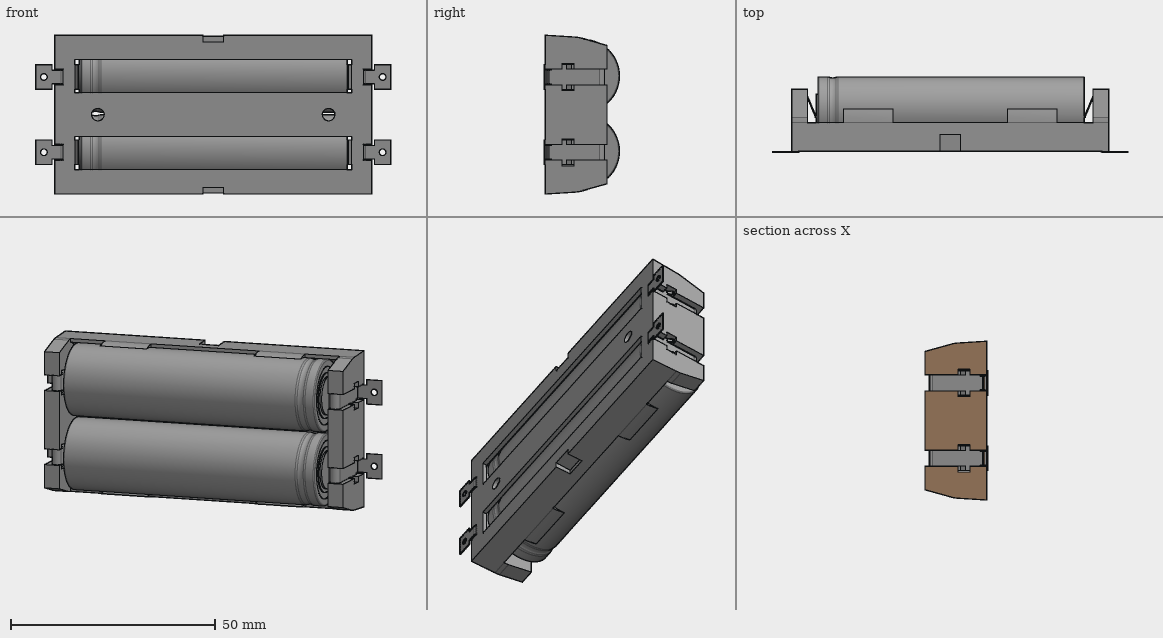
import cadquery as cq
import math


housing_half_length = 38.9
housing_half_width = 19.5
housing_height = 15.2
end_wall = 3.9
bay_half_length = housing_half_length - end_wall
rim_height = 7.05
rim_half_width = 19.05
bend_height = 8.35
bend_half_width = 18.9
top_half_width = 17.0

bay_spacing = 18.45
bay_centres = (bay_spacing / 2, -bay_spacing / 2)
battery_radius = 9.0
battery_shift = 0.3
bay_radius = battery_radius + battery_shift
axis_height = 9.3

clip_height = 10.4
floor_thickness = 1.05

clip_inner_x = 14.0
clip_outer_x = 26.1

window_half_length = 33.9
window_inner_z = 5.4
window_outer_z = 13.5

screw_hole_x = 28.3
screw_hole_diameter = 3.05

notch_length = 5.05
notch_height = 4.2
notch_depth = 1.65

battery_half_length = 32.9
battery_edge_radius = 0.3
cap_radius = 4.7
cap_height = 0.4
shoulder_x = cap_height - battery_half_length
ring_inner_radius = 5.65
ring_outer_radius = 7.2
ring_depth = 0.3
bead_x = -28.8
bead_half_width = 1.3
bead_shoulder = 0.8
bead_shoulder_depth = 0.1
bead_depth = 0.3

sheet = 0.3
overall_half_length = 43.5
contact_width = 6.1
neck_width = 3.4
stem_width = 3.9
pad_length = 4.0
pad_hole_x = 41.5
pad_hole_diameter = 1.6
stem_depth = 1.4
neck_depth = 1.8
neck_height = 1.65
jog_start = 0.5
jog_end = 1.05
foot_bend_radius = 0.4
arch_radius = 1.1
stem_top = 14.6
spring_lean = math.radians(23)
spring_end = 8.3
wing_bottom = 4.2
wing_fold_start = 5.3
wing_fold_end = 6.5
wing_top = 7.05
wing_fold_out = 0.7

slot_depth = neck_depth + sheet
arch_notch_height = 12.2
wing_pocket_width = 6.6


def block(x_range, y_range, z_range):
    """Axis-aligned box given by its limits."""
    size = [high - low for low, high in (x_range, y_range, z_range)]
    corner = cq.Vector(x_range[0], y_range[0], z_range[0])
    return cq.Workplane("XY").box(*size, centered=False).translate(corner)


def mirrored_bar(outline, x_from, x_to):
    """Bar along X from an outline of its +Z half, joined with the mirror image of that half."""
    half = outline.extrude(x_to - x_from).translate((x_from, 0, 0))
    return half.union(half.mirror("XY"))


def end_wall_outline():
    """Drafted side that bends inward above the rim."""
    return (
        cq.Workplane("YZ")
        .lineTo(0, housing_half_width)
        .lineTo(rim_height, rim_half_width)
        .tangentArcPoint((bend_height, bend_half_width), relative=False)
        .lineTo(housing_height, top_half_width)
        .lineTo(housing_height, 0)
        .close()
    )


def rim_outline():
    """Drafted side up to the rim only."""
    return (
        cq.Workplane("YZ")
        .lineTo(0, housing_half_width)
        .lineTo(rim_height, rim_half_width)
        .lineTo(rim_height, 0)
        .close()
    )


def clip_outline():
    """Drafted side that curves on above the rim to meet the round wall of the bay in a thin lip."""
    lip_z = bay_centres[0] + math.sqrt(bay_radius**2 - (clip_height - axis_height) ** 2)
    return (
        cq.Workplane("YZ")
        .lineTo(0, housing_half_width)
        .lineTo(rim_height, rim_half_width)
        .tangentArcPoint((clip_height, lip_z), relative=False)
        .lineTo(rim_height, bay_centres[0])
        .lineTo(rim_height, 0)
        .close()
    )


def make_bays():
    """Open space for both batteries: round toward the side walls, flat floor, no wall between."""
    bays = block((-bay_half_length, bay_half_length), (floor_thickness, housing_height), bay_centres[::-1])
    for z in bay_centres:
        trough = (
            cq.Workplane("YZ", origin=(-bay_half_length, 0, 0))
            .center(axis_height, z)
            .circle(bay_radius)
            .extrude(2 * bay_half_length)
        )
        bays = bays.union(trough)
    below_floor = block(
        (-bay_half_length, bay_half_length),
        (0, floor_thickness),
        (-housing_half_width, housing_half_width),
    )
    return bays.cut(below_floor)


def contact_slots(z):
    """Space for one contact in the -X end wall."""
    end_face = -housing_half_length
    slot_back = end_face + slot_depth
    stem_half = stem_width / 2
    pocket_half = wing_pocket_width / 2
    slot = block((end_face, slot_back), (0, housing_height), (z - stem_half, z + stem_half))
    notch = block(
        (end_face, -bay_half_length), (arch_notch_height, housing_height), (z - stem_half, z + stem_half)
    )
    pocket = block((end_face, slot_back), (wing_bottom, wing_top), (z - pocket_half, z + pocket_half))
    return slot.union(notch).union(pocket)


def make_housing():
    """Tray with two end walls, four clips, two windows and two screw holes."""
    body = mirrored_bar(rim_outline(), -housing_half_length, housing_half_length)
    for x_range in ((-clip_outer_x, -clip_inner_x), (clip_inner_x, clip_outer_x)):
        body = body.union(mirrored_bar(clip_outline(), *x_range))
    for x_range in ((-housing_half_length, -bay_half_length), (bay_half_length, housing_half_length)):
        body = body.union(mirrored_bar(end_wall_outline(), *x_range))
    body = body.cut(make_bays())

    for z in bay_centres:
        slots = contact_slots(z)
        body = body.cut(slots).cut(slots.mirror("YZ"))

    window_depth = 2 * floor_thickness
    for z_range in ((window_inner_z, window_outer_z), (-window_outer_z, -window_inner_z)):
        body = body.cut(block((-window_half_length, window_half_length), (0, window_depth), z_range))

    holes = (
        cq.Workplane("XZ")
        .pushPoints([(-screw_hole_x, 0), (screw_hole_x, 0)])
        .circle(screw_hole_diameter / 2)
        .extrude(-floor_thickness)
    )
    body = body.cut(holes)

    notch_floor = housing_half_width - notch_depth
    for z_range in ((notch_floor, housing_half_width), (-housing_half_width, -notch_floor)):
        body = body.cut(block((-notch_length / 2, notch_length / 2), (0, notch_height), z_range))
    return body


def make_battery(z):
    """Turned cell with a cap and ring recess on the -X end and a rolled groove near it."""
    r = battery_radius
    shoulder_radius = r - bead_shoulder_depth
    bead_radius = r - bead_depth
    outline = (
        cq.Workplane("XY")
        .moveTo(-battery_half_length, 0)
        .lineTo(-battery_half_length, cap_radius)
        .lineTo(shoulder_x, cap_radius)
        .lineTo(shoulder_x, ring_inner_radius)
        .lineTo(shoulder_x + ring_depth, ring_inner_radius)
        .lineTo(shoulder_x + ring_depth, ring_outer_radius)
        .lineTo(shoulder_x, ring_outer_radius)
        .lineTo(shoulder_x, r - battery_edge_radius)
        .tangentArcPoint((battery_edge_radius, battery_edge_radius))
        .lineTo(bead_x - bead_half_width, r)
        .tangentArcPoint((bead_x - bead_shoulder, shoulder_radius), relative=False)
        .threePointArc((bead_x, bead_radius), (bead_x + bead_shoulder, shoulder_radius))
        .lineTo(bead_x + bead_half_width, r)
        .lineTo(battery_half_length - battery_edge_radius, r)
        .tangentArcPoint((battery_edge_radius, -battery_edge_radius))
        .lineTo(battery_half_length, 0)
        .close()
    )
    return outline.revolve(360, (0, 0, 0), (1, 0, 0)).translate((0, axis_height, z))


def contact_path():
    """Centreline of the -X contact: pad, neck, stem, arch over the end wall, spring."""
    pad_y = -sheet / 2
    neck_x = -housing_half_length + neck_depth + sheet / 2
    stem_x = -housing_half_length + stem_depth + sheet / 2
    arch_x = stem_x + arch_radius
    arch_y = stem_top - sheet / 2 - arch_radius
    arch_end_x = arch_x + arch_radius * math.cos(spring_lean)
    arch_end_y = arch_y + arch_radius * math.sin(spring_lean)

    tip_x = -battery_half_length - sheet / 2
    tip_y = arch_end_y - (tip_x - arch_end_x) / math.tan(spring_lean)

    return (
        cq.Workplane("XY")
        .moveTo(-overall_half_length, pad_y)
        .lineTo(neck_x - foot_bend_radius, pad_y)
        .tangentArcPoint((foot_bend_radius, foot_bend_radius))
        .lineTo(neck_x, jog_start)
        .lineTo(stem_x, jog_end)
        .lineTo(stem_x, arch_y)
        .threePointArc((arch_x, arch_y + arch_radius), (arch_end_x, arch_end_y))
        .lineTo(tip_x, tip_y)
        .lineTo(tip_x, spring_end)
    )


def make_wing():
    """Full-width strip for the side wings of the stem: flush at its root, then folded outward and up."""
    face = -housing_half_length + stem_depth
    folded = face - wing_fold_out
    return (
        cq.Workplane("XY", origin=(0, 0, -contact_width / 2))
        .polyline([
            (face, wing_bottom),
            (face, wing_fold_start),
            (folded, wing_fold_end),
            (folded, wing_top),
            (folded + sheet, wing_top),
            (folded + sheet, wing_fold_end),
            (face + sheet, wing_fold_start),
            (face + sheet, wing_bottom),
        ])
        .close()
        .extrude(contact_width)
    )


def make_contact():
    """Contact of the -X end, centred on Z = 0."""
    half = contact_width / 2
    pad_y = -sheet / 2
    body = (
        cq.Workplane("YZ", origin=(-overall_half_length, pad_y, 0))
        .rect(sheet, contact_width)
        .sweep(contact_path(), transition="right")
    )
    pad_end = pad_length - overall_half_length
    for side in (-1, 1):
        neck_edge = sorted((side * neck_width / 2, side * half))
        stem_edge = sorted((side * stem_width / 2, side * half))
        body = body.cut(block((pad_end, -bay_half_length), (-sheet, neck_height), neck_edge))
        body = body.cut(block((pad_end, -bay_half_length), (neck_height, housing_height), stem_edge))
        wing_space = block((pad_end, -bay_half_length), (wing_bottom, wing_top), stem_edge)
        body = body.union(make_wing().intersect(wing_space))
    hole = (
        cq.Workplane("XZ")
        .center(-pad_hole_x, 0)
        .circle(pad_hole_diameter / 2)
        .extrude(sheet)
    )
    return body.cut(hole)


housing = make_housing()
batteries = [make_battery(z + battery_shift) for z in bay_centres]
contact = make_contact()
contacts = []
for z in bay_centres:
    contacts.append(contact.translate((0, 0, z)))
    contacts.append(contact.mirror("YZ").translate((0, 0, z)))

bodies = [housing, *batteries, *contacts]
result = cq.Compound.makeCompound([body.val() for body in bodies])